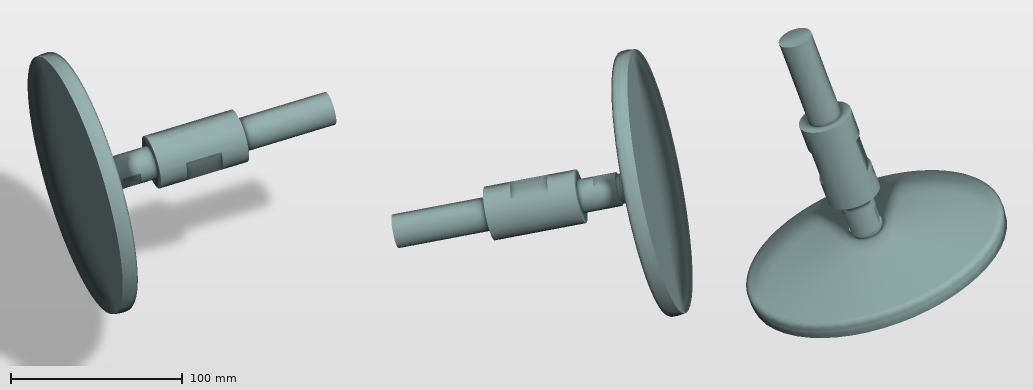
import cadquery as cq


foot_diameter = 158.0
foot_bottom_diameter = 157.0
rim_taper_height = 4.1
rim_corner_height = 9.7
rim_fillet = 3.2
cone_top_diameter = 19.4
cone_top_height = 21.0
collar_diameter = 16.5
lip_diameter = 17.8
lip_bottom = 22.4
lip_top = 23.2

spindle_diameter = 20.0
spindle_bottom = 24.5
spindle_top = 159.0
neck_bottom_diameter = 12.7
neck_top_diameter = 15.0
socket_floor = rim_corner_height
spindle_flat_width = 17.5
spindle_flat_bottom = 26.0
spindle_flat_top = 37.5

sleeve_diameter = 32.0
sleeve_bottom = 47.5
sleeve_length = 54.9
sleeve_flat_width = 27.0
sleeve_flat_length = 22.3
sleeve_flat_bottom = sleeve_bottom + (sleeve_length - sleeve_flat_length) / 2


def cylinder(diameter, bottom, top):
    """Solid cylinder on the Y axis between two heights."""
    return cq.Workplane("XZ", origin=(0, bottom, 0)).circle(diameter / 2).extrude(bottom - top)


def cut_wrench_flats(body, diameter, flat_width, bottom, top):
    """Cut two opposite flats, facing -X and +X, between two heights."""
    depth = (diameter - flat_width) / 2
    for side in (-1, 1):
        cutter = cq.Workplane("XY").box(depth, top - bottom, diameter).translate(
            (side * (flat_width + depth) / 2, (bottom + top) / 2, 0)
        )
        body = body.cut(cutter)
    return body


def make_foot():
    """Shallow conical foot with a lipped collar and a socket for the neck."""
    profile = [
        (0, 0),
        (foot_bottom_diameter / 2, 0),
        (foot_diameter / 2, rim_taper_height),
        (foot_diameter / 2, rim_corner_height),
        (cone_top_diameter / 2, cone_top_height),
        (collar_diameter / 2, cone_top_height),
        (collar_diameter / 2, lip_bottom),
        (lip_diameter / 2, lip_bottom),
        (lip_diameter / 2, lip_top),
        (0, lip_top),
    ]
    body = cq.Workplane("XY").polyline(profile).close().revolve(360, (0, 0), (0, 1))
    rim_corner = cq.selectors.NearestToPointSelector((-foot_diameter / 2, rim_corner_height, 0))
    body = body.edges(rim_corner).fillet(rim_fillet)
    return body.cut(cylinder(neck_bottom_diameter, socket_floor, lip_top))


def make_spindle():
    """Round spindle with wrench flats and a neck seated in the foot socket."""
    profile = [
        (0, socket_floor),
        (neck_bottom_diameter / 2, socket_floor),
        (neck_bottom_diameter / 2, lip_top),
        (neck_top_diameter / 2, spindle_bottom),
        (spindle_diameter / 2, spindle_bottom),
        (spindle_diameter / 2, spindle_top),
        (0, spindle_top),
    ]
    body = cq.Workplane("XY").polyline(profile).close().revolve(360, (0, 0), (0, 1))
    return cut_wrench_flats(
        body, spindle_diameter, spindle_flat_width, spindle_flat_bottom, spindle_flat_top
    )


def make_sleeve():
    """Sleeve around the spindle, with wrench flats at mid length."""
    sleeve_top = sleeve_bottom + sleeve_length
    body = cylinder(sleeve_diameter, sleeve_bottom, sleeve_top)
    body = body.cut(cylinder(spindle_diameter, sleeve_bottom, sleeve_top))
    flat_top = sleeve_flat_bottom + sleeve_flat_length
    return cut_wrench_flats(body, sleeve_diameter, sleeve_flat_width, sleeve_flat_bottom, flat_top)


foot = make_foot()
spindle = make_spindle()
sleeve = make_sleeve()

result = cq.Compound.makeCompound(
    [foot.solids().val(), spindle.solids().val(), sleeve.solids().val()]
)